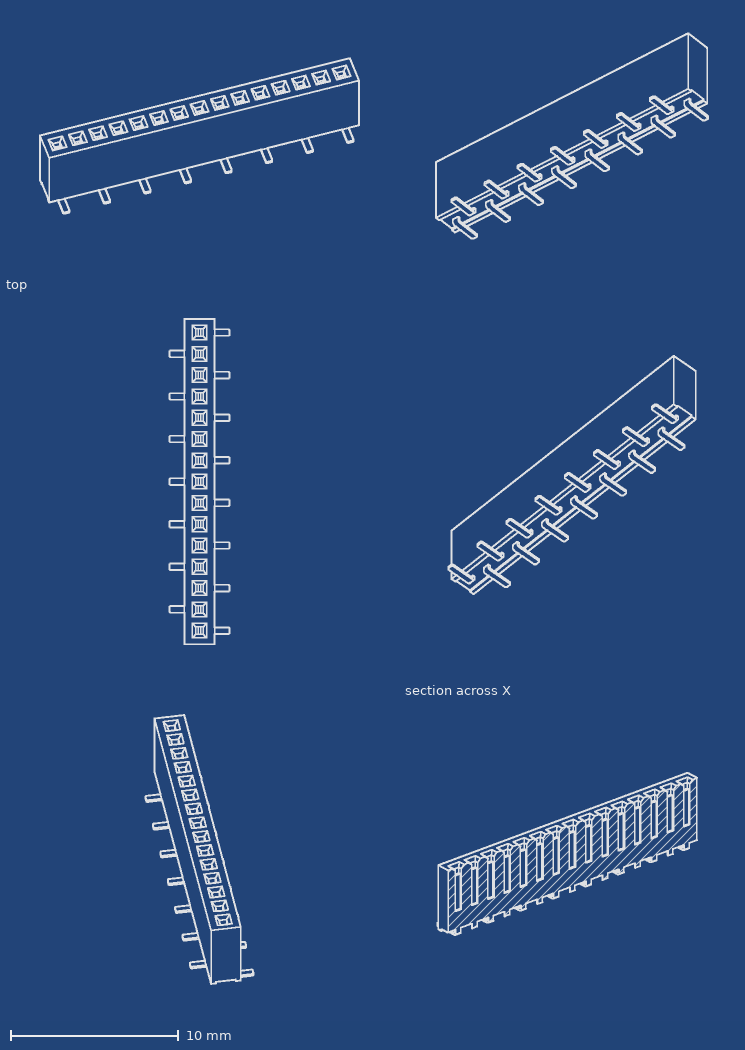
import cadquery as cq

length = 19.4
tail_span = 3.59
total_height = 4.54

body_width = 1.8
body_height = 4.27
foot_width = 0.31
channel_depth = 0.12

contact_count = 15
end_margin = 0.81
pitch = (length - 2 * end_margin) / (contact_count - 1)

mouth_size = 0.87
throat_size = 0.45
funnel_depth = 0.21
socket_depth = 2.91
beam_thickness = 0.14
beam_drop = 0.39

strip_thickness = 0.15
strip_width = 0.4
stem_outer_x = -0.04
inner_bend_radius = 0.02
tip_chamfer = 0.05
stem_embed = 0.2

body_bottom = total_height - body_height
channel_top = body_bottom + channel_depth
throat_top = total_height - funnel_depth
socket_floor = total_height - socket_depth


def make_housing():
    """Rectangular block with a shallow channel along its underside."""
    block = cq.Workplane("XY").workplane(offset=body_bottom).rect(body_width, length).extrude(body_height)
    channel_width = body_width - 2 * foot_width
    channel = cq.Workplane("XY").workplane(offset=body_bottom).rect(channel_width, length).extrude(channel_depth)
    return block.cut(channel)


def make_socket():
    """Funnel mouth and square throat, with a contact beam left on two sides of the throat."""
    funnel = (
        cq.Workplane("XY")
        .workplane(offset=total_height)
        .rect(mouth_size, mouth_size)
        .workplane(offset=-funnel_depth)
        .rect(throat_size, throat_size)
        .loft(ruled=True)
    )
    entry = cq.Workplane("XY").workplane(offset=throat_top).rect(throat_size, throat_size).extrude(-beam_drop)
    gap_width = throat_size - 2 * beam_thickness
    gap = (
        cq.Workplane("XY")
        .workplane(offset=throat_top)
        .rect(gap_width, throat_size)
        .extrude(socket_floor - throat_top)
    )
    return funnel.union(entry).union(gap)


def make_pin():
    """L-shaped pin whose tail points toward +X."""
    tail_end = tail_span / 2
    stem_height = channel_top + stem_embed
    stem_inner_x = stem_outer_x + strip_thickness
    profile = (
        cq.Workplane("XZ")
        .moveTo(stem_outer_x, 0)
        .lineTo(tail_end, 0)
        .lineTo(tail_end, strip_thickness)
        .lineTo(stem_inner_x, strip_thickness)
        .lineTo(stem_inner_x, stem_height)
        .lineTo(stem_outer_x, stem_height)
        .close()
    )
    pin = profile.extrude(strip_width / 2, both=True)
    outer_bend = cq.selectors.NearestToPointSelector((stem_outer_x, 0, 0))
    inner_bend = cq.selectors.NearestToPointSelector((stem_inner_x, 0, strip_thickness))
    pin = pin.edges(inner_bend).fillet(inner_bend_radius)
    pin = pin.edges(outer_bend).fillet(inner_bend_radius + strip_thickness)
    return pin.faces(">X").edges("|Z").chamfer(tip_chamfer)


result = make_housing()
socket = make_socket()
right_pin = make_pin()
left_pin = right_pin.mirror("YZ")

for index in range(contact_count):
    y = end_margin - length / 2 + index * pitch
    pin = right_pin if index % 2 == 0 else left_pin
    result = result.cut(socket.translate((0, y, 0)))
    result = result.union(pin.translate((0, y, 0)))